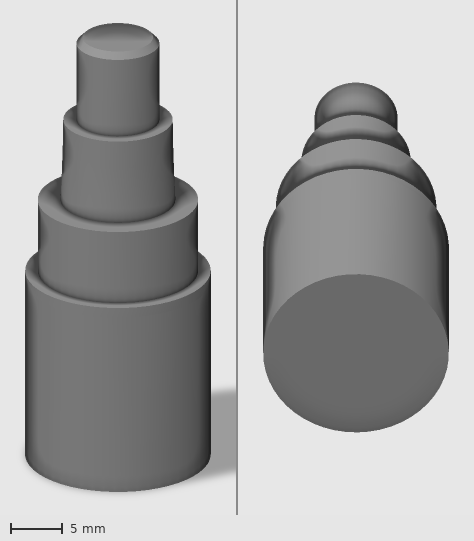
import cadquery as cq

total_height = 44.25

base_radius = 9.005
base_height = 18.5
shoulder_radius = 7.8
shoulder_exposed_height = 7.52
neck_bottom_radius = 5.58
neck_middle_radius = 5.4
neck_top_radius = 5.3
neck_height = 8.5
tip_radius = 4.03
tip_chamfer = 0.6

ring_radius = base_radius
ring_height = 1.0

ring_top = base_height + ring_height
shoulder_top = ring_top + shoulder_exposed_height
neck_middle = shoulder_top + neck_height / 2
neck_top = shoulder_top + neck_height


def make_stud():
    """Revolved base, shoulder, slightly flared neck and chamfered tip."""
    profile = (
        cq.Workplane("XZ")
        .lineTo(base_radius, 0)
        .lineTo(base_radius, base_height)
        .lineTo(shoulder_radius, base_height)
        .lineTo(shoulder_radius, shoulder_top)
        .lineTo(neck_bottom_radius, shoulder_top)
        .threePointArc((neck_middle_radius, neck_middle), (neck_top_radius, neck_top))
        .lineTo(tip_radius, neck_top)
        .lineTo(tip_radius, total_height - tip_chamfer)
        .lineTo(tip_radius - tip_chamfer, total_height)
        .lineTo(0, total_height)
        .close()
    )
    return profile.revolve(360, (0, 0, 0), (0, 1, 0))


def make_ring():
    """Flat ring resting on the base, flush with its outer wall."""
    return (
        cq.Workplane("XY")
        .workplane(offset=base_height)
        .circle(ring_radius)
        .circle(shoulder_radius)
        .extrude(ring_height)
    )


stud = make_stud()
ring = make_ring()

result = cq.Compound.makeCompound([stud.val(), ring.val()])